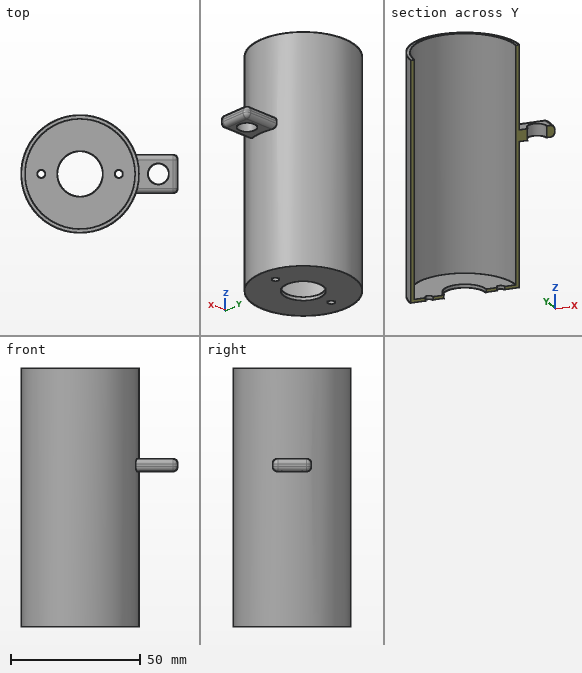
import cadquery as cq

outer_diameter = 45.6
wall = 1.5
height = 100
floor_thickness = wall
outer_radius = outer_diameter / 2
inner_radius = outer_radius - wall

center_hole_diameter = 17.5
screw_hole_diameter = 3
screw_hole_spacing = 30

lug_reach = 15
lug_width = 15
lug_thickness = 5
lug_bottom = 60
lug_fillet = 2
eye_diameter = 8
eye_x = outer_radius + lug_reach / 2


def make_cup():
    body = cq.Workplane("XY").circle(outer_radius).extrude(height)
    cavity = (
        cq.Workplane("XY")
        .workplane(offset=floor_thickness)
        .circle(inner_radius)
        .extrude(height - floor_thickness)
    )
    return body.cut(cavity)


def make_floor_holes():
    center_hole = cq.Workplane("XY").circle(center_hole_diameter / 2).extrude(floor_thickness)
    screw_holes = (
        cq.Workplane("XY")
        .pushPoints([(-screw_hole_spacing / 2, 0), (screw_hole_spacing / 2, 0)])
        .circle(screw_hole_diameter / 2)
        .extrude(floor_thickness)
    )
    return center_hole.union(screw_holes)


def make_lug():
    bar = (
        cq.Workplane("XY")
        .workplane(offset=lug_bottom)
        .rect(2 * (outer_radius + lug_reach), lug_width)
        .extrude(lug_thickness)
        .edges()
        .fillet(lug_fillet)
    )
    positive_side = (
        cq.Workplane("XY")
        .box(outer_radius + lug_reach, lug_width, height, centered=(False, True, False))
    )
    core = cq.Workplane("XY").circle(outer_radius - wall / 2).extrude(height)
    eye = (
        cq.Workplane("XY")
        .workplane(offset=lug_bottom)
        .center(eye_x, 0)
        .circle(eye_diameter / 2)
        .extrude(lug_thickness)
    )
    return bar.intersect(positive_side).cut(core).cut(eye)


result = make_cup().cut(make_floor_holes()).union(make_lug())